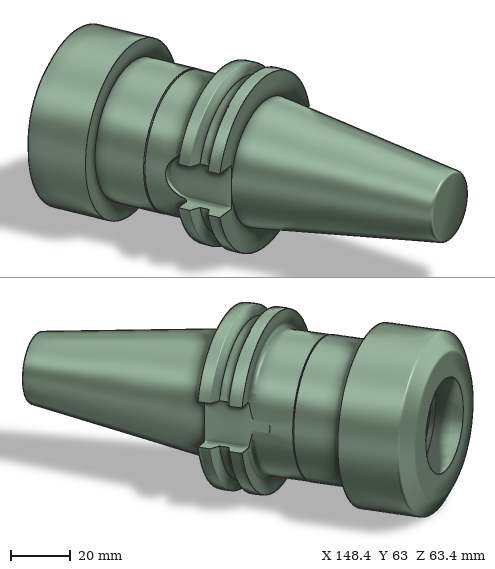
import cadquery as cq
import math

total_length = 148.4
nut_length = 25.7
neck_step_x = 44.4
flange_front_x = 60.8
flange_rear_x = 76.9

nut_radius = 63.0 / 2
nut_face_radius = 25.2
nut_chamfer_angle = 30.0
nut_rim_fillet = 1.0
nut_face_fillet = 2.1

mouth_radius = 33.0 / 2
recess_radius = 48.1 / 2
recess_cone_angle = 30.0
recess_depth = 15.0

front_neck_radius = 50.0 / 2
rear_neck_radius = 49.7 / 2
neck_step_length = 0.5
neck_fillet = 4.0 / 2

flange_radius = 63.4 / 2
flange_edge_chamfer = 0.1
flange_edge_width = 1.0
groove_center_x = 68.9
groove_floor_radius = 28.0
groove_mouth_fillet = 0.5
groove_floor_width = 3.4
groove_mouth_width = 7.0

taper_slope = 7 / 48
gauge_radius = 22.3
gauge_x = 80.0
tail_fillet = 1.2

slot_width = 16.2
front_slot_floor = 22.5
rear_slot_floor = 24.8
slot_floor_fillet = 0.6


def taper_radius(x):
    return gauge_radius - (x - gauge_x) * taper_slope


def ring_edges_at(x, radius):
    """Selector for the circular edge of given radius in the plane at x."""
    size = radius + 0.07
    return cq.selectors.BoxSelector((x - 0.07, -size, -size), (x + 0.07, size, size), boundingbox=True)


def turned_body():
    nut_chamfer_length = (nut_radius - nut_face_radius) * math.tan(math.radians(nut_chamfer_angle))
    half_floor = groove_floor_width / 2
    half_mouth = groove_mouth_width / 2
    flange_edge_radius = flange_radius - flange_edge_chamfer
    profile = [
        (0, 0),
        (0, nut_face_radius),
        (nut_chamfer_length, nut_radius),
        (nut_length, nut_radius),
        (nut_length, front_neck_radius),
        (neck_step_x, front_neck_radius),
        (neck_step_x + neck_step_length, rear_neck_radius),
        (flange_front_x, rear_neck_radius),
        (flange_front_x, flange_edge_radius),
        (flange_front_x + flange_edge_width, flange_radius),
        (groove_center_x - half_mouth, flange_radius),
        (groove_center_x - half_floor, groove_floor_radius),
        (groove_center_x + half_floor, groove_floor_radius),
        (groove_center_x + half_mouth, flange_radius),
        (flange_rear_x - flange_edge_width, flange_radius),
        (flange_rear_x, flange_edge_radius),
        (flange_rear_x, taper_radius(flange_rear_x)),
        (total_length, taper_radius(total_length)),
        (total_length, 0),
    ]
    body = cq.Workplane("XY").polyline(profile).close().revolve(360, (0, 0, 0), (1, 0, 0))
    body = body.edges(ring_edges_at(nut_chamfer_length, nut_radius)).fillet(nut_rim_fillet)
    body = body.edges(ring_edges_at(0, nut_face_radius)).fillet(nut_face_fillet)
    for mouth_x in (groove_center_x - half_mouth, groove_center_x + half_mouth):
        body = body.edges(ring_edges_at(mouth_x, flange_radius)).fillet(groove_mouth_fillet)
    body = body.edges(ring_edges_at(flange_front_x, rear_neck_radius)).fillet(neck_fillet)
    return body.edges(ring_edges_at(total_length, taper_radius(total_length))).fillet(tail_fillet)


def drive_slot(side, floor):
    """Round-nosed cutter on the given Y side (+1 or -1), open through the rear of the flange."""
    straight = flange_rear_x - flange_front_x
    depth = flange_radius - floor
    nose = cq.Workplane("XZ").center(flange_front_x, 0).circle(slot_width / 2).extrude(-depth)
    run = cq.Workplane("XZ").center(flange_front_x + straight / 2, 0).rect(straight, slot_width).extrude(-depth)
    cutter = nose.union(run)
    rim = cutter.faces("<Y").edges("not >X")
    cutter = rim.fillet(slot_floor_fillet).translate((0, floor, 0))
    if side < 0:
        cutter = cutter.mirror("XZ")
    return cutter


def collet_recess():
    cone_length = (recess_radius - mouth_radius) / math.tan(math.radians(recess_cone_angle))
    profile = [
        (0, 0),
        (0, mouth_radius),
        (cone_length, recess_radius),
        (recess_depth, recess_radius),
        (recess_depth, 0),
    ]
    return cq.Workplane("XY").polyline(profile).close().revolve(360, (0, 0, 0), (1, 0, 0))


result = (
    turned_body()
    .cut(collet_recess())
    .cut(drive_slot(-1, front_slot_floor))
    .cut(drive_slot(1, rear_slot_floor))
)